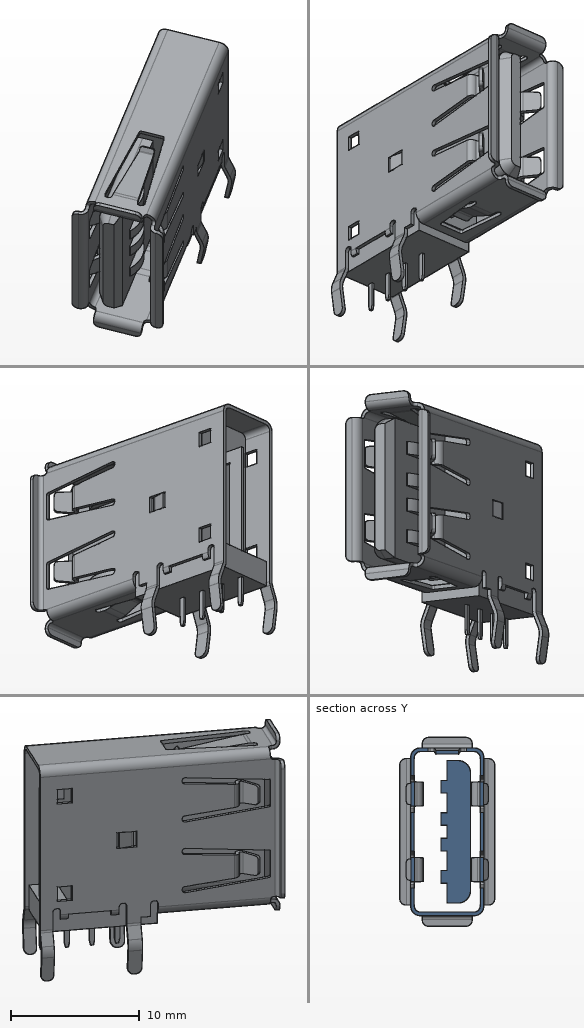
import cadquery as cq
import math


clearance = 1.0
slot_rounding = 0.46

sheet = 0.3
shell_width = 5.7
shell_height = 13.05
length = 19.3
corner_radius = 0.75
half_width = shell_width / 2
half_height = shell_height / 2
inner_half_width = half_width - sheet
inner_half_height = half_height - sheet
bend_line_z = -(half_height - corner_radius)

overall_width = 7.4
flare_height = 14.7
flare_bend = 0.3
flare_depth = flare_bend + sheet
side_flare_span = 11.4
top_flare_span = 3.9
flare_corner = 0.5
notch_depth = 0.95
notch_fillet = 0.25

floor_end = 9.9
relief_width = 0.62
relief_top = -5.25
front_leg_width = 1.12
rear_leg_width = 1.0
tab_length = 0.76
front_leg_start = floor_end + relief_width + tab_length
front_leg_end = front_leg_start + front_leg_width
rear_leg_start = length - rear_leg_width
relief_starts = (floor_end, front_leg_end, rear_leg_start - relief_width)
leg_top = -5.5
leg_bottom = -11.1
leg_bend_z = -6.97
leg_splay = 23.0
leg_return = 31.5
leg_splay_radius = 0.46
leg_splay_run = 1.09
leg_return_radius = 1.64
hem_length = 0.62
hem_bottom = -6.2

rear_window = 1.2
rear_window_y = 17.35
rear_window_z = 4.05
latch_window_length = 1.6
latch_window_height = 1.3
latch_window_y = 12.4
latch_front_gap = 0.22
latch_rear_gap = 0.2
latch_lead_in = 0.12
latch_lip = 0.05

window_corner = 0.15

side_spring_z = 2.94
side_spring_root = 8.0
side_spring_moves = [(4.15,), (-90, 0.5), (135, 0.2), (1.39,)]
side_spring_tongue = (1.35, 0.77, 6.3, 0.3)
side_spring_window = (1.87, 1.13, side_spring_root - notch_depth)

roof_spring_root = 1.67
roof_spring_moves = [(0.4,), (-7.2, 2.0), (5.08,), (57, 0.05), (0.4,)]
roof_spring_tongue = (1.05, 0.52, 6.5, 0.15)
roof_spring_window = (1.65, 1.0, 7.2)

floor_spring_root = 4.7
floor_spring_moves = [(0.5,), (-20, 1.8), (1.53,), (40, 0.4), (0.5,)]
floor_spring_tongue = (1.04, 0.7, 4.0, 0.2)
floor_spring_window = (1.55, 1.1, 4.4)

housing_front = 9.0
housing_rear = 16.8
base_rear = 19.0
base_top = -5.2
base_bottom = -7.25
tongue_front = 0.36
tongue_shoulder = 1.2
tongue_left = -1.82
tongue_right = 0.03
tongue_half_height = 5.55
tongue_radius = 1.0
tongue_bevel = 0.53
tongue_right_bevel = 0.4

contact_zs = (3.5, 1.0, -1.0, -3.5)
contact_width = 1.0
contact_start = 3.0
contact_length = 3.0
contact_nose = 0.12
contact_crest = 0.62
pin_first_y = 12.55
pin_pitch = 2.0
pin_count = 4
pin_width = 0.4
pin_thickness = 0.2
pin_bottom = -9.6
pin_taper = 0.37
pin_tip_width = 0.22
lead_front = 17.5
lead_top = 3.77


def block(x0, x1, y0, y1, z0, z1):
    """Box between two opposite corners."""
    return cq.Workplane("XY").box(x1 - x0, y1 - y0, z1 - z0, centered=False).translate((x0, y0, z0))


def both_sides(solid):
    """The solid together with its mirror image across X = 0."""
    return solid.union(solid.mirror("YZ"))


def place(solid, origin, along, outward):
    """Move a strip so that its local X runs along the wall and its local Z points outward."""
    plane = cq.Plane(origin=origin, xDir=along, normal=outward)
    return cq.Workplane("XY").newObject([solid.val().moved(cq.Location(plane))])


def bent_strip(moves, width):
    """Bent sheet running along +X with its outer face starting at Z = 0.

    A move is (length,) for a straight run, or (degrees, radius) for a bend whose radius
    is taken on the outer face; positive bends turn outward.
    """
    x, z, heading = 0.0, 0.0, 0.0
    stations = [(x, z, heading)]
    for move in moves:
        if len(move) == 1:
            x += move[0] * math.cos(heading)
            z += move[0] * math.sin(heading)
            stations.append((x, z, heading))
            continue
        turn, radius = math.radians(move[0]), move[1]
        side = math.copysign(1, turn)
        centre_x = x - side * radius * math.sin(heading)
        centre_z = z + side * radius * math.cos(heading)
        for angle in (heading + turn / 2, heading + turn):
            x = centre_x + side * radius * math.sin(angle)
            z = centre_z - side * radius * math.cos(angle)
            stations.append((x, z, angle))
        heading += turn

    outer = [(px, pz) for px, pz, _ in stations]
    inner = [(px + sheet * math.sin(a), pz - sheet * math.cos(a)) for px, pz, a in stations]

    def trace(sketch, points, ordered_moves):
        index = 0
        for move in ordered_moves:
            if len(move) == 1:
                sketch = sketch.lineTo(*points[index + 1])
            else:
                sketch = sketch.threePointArc(points[index + 1], points[index + 2])
            index += len(move)
        return sketch

    sketch = trace(cq.Workplane("XZ").moveTo(*outer[0]), outer, moves)
    sketch = trace(sketch.lineTo(*inner[-1]), inner[::-1], moves[::-1])
    return sketch.close().extrude(width / 2, both=True)


def taper_plate(x0, x1, half0, half1):
    """Tall plate whose plan tapers from half0 at x0 to half1 at x1."""
    plan = [(x0, -half0), (x1, -half1), (x1, half1), (x0, half0)]
    return cq.Workplane("XY").polyline(plan).close().extrude(shell_width / 2, both=True)


def spring_parts(moves, tongue, window):
    """Window cutter and bent tongue, both in local strip axes with the root at X = 0."""
    root_half, tip_half, tip_reach, tip_radius = tongue
    window_half, end_half, window_reach = window
    slot = window_half - root_half

    cutter = taper_plate(0, window_reach, window_half, end_half)
    cutter = cutter.edges("|Z and >X").fillet(window_corner)
    flank_slope = (root_half - tip_half) / tip_reach
    bridge_end = slot / 2
    bridge_start = -slot
    bridge = taper_plate(bridge_start, bridge_end, root_half - flank_slope * bridge_start,
                         root_half - flank_slope * bridge_end)
    cutter = cutter.cut(bridge)
    cutter = cutter.edges("|Z and <X").fillet(slot_rounding * slot)
    wall = cq.Workplane("XY").box(2 * window_reach + clearance, shell_width, 4 * sheet)

    strip = bent_strip(moves, 2 * window_half).intersect(taper_plate(0, tip_reach, root_half, tip_half))
    tip_heading = math.radians(sum(move[0] for move in moves if len(move) == 2))
    tip_direction = cq.Vector(math.cos(tip_heading), 0, math.sin(tip_heading))
    tip_face = strip.faces(cq.selectors.DirectionMinMaxSelector(tip_direction))
    strip = tip_face.edges("not |Y").fillet(tip_radius)
    return cutter.intersect(wall), strip


def make_tube():
    """Rounded rectangular shell with corner notches at the mouth."""
    def rounded_bar(margin):
        bar = block(-half_width + margin, half_width - margin, flare_depth, length,
                    -half_height + margin, half_height - margin)
        return bar.edges("|Y").fillet(corner_radius - margin)

    tube = rounded_bar(0).cut(rounded_bar(sheet))
    notch = block(top_flare_span / 2, half_width + clearance, -clearance, notch_depth,
                  side_flare_span / 2, half_height + clearance)
    notch = notch.edges(">Y and (<X or <Z)").fillet(notch_fillet)
    notches = both_sides(notch)
    return tube.cut(notches).cut(notches.mirror("XY"))


def make_flares():
    """Four lips that bend outward at the mouth."""
    def lip(half_size, overall, span):
        tail = overall / 2 - half_size - flare_bend
        return bent_strip([(90, flare_bend), (tail,)], span)

    def rounded_trim(width, height):
        depth = 2 * (flare_depth + clearance)
        return cq.Workplane("XY").box(width, depth, height).edges("|Y").fillet(flare_corner)

    side = lip(half_width, overall_width, side_flare_span)
    side = both_sides(place(side, (half_width, flare_depth, 0), (0, -1, 0), (1, 0, 0)))
    side = side.intersect(rounded_trim(overall_width, side_flare_span))

    top = lip(half_height, flare_height, top_flare_span)
    top = place(top, (0, flare_depth, half_height), (0, -1, 0), (0, 0, 1))
    top = top.union(top.mirror("XY"))
    return side.union(top.intersect(rounded_trim(top_flare_span, flare_height)))


def open_rear_underside(shell):
    """Remove the floor behind floor_end, leaving two short hems on each side."""
    far = half_width + clearance
    opening = block(-far, far, floor_end, length + clearance, -half_height - clearance, bend_line_z)
    for start in (front_leg_end + relief_width, rear_leg_start - relief_width - hem_length):
        for side in (-1, 1):
            edges = sorted((side * far, side * (half_width - corner_radius)))
            opening = opening.cut(block(*edges, start, start + hem_length, hem_bottom, bend_line_z))
    return shell.cut(opening)


def relief_cutter():
    """Round-topped slots beside the legs, cut through both side walls."""
    cutter = None
    for start in relief_starts:
        slot = block(inner_half_width - sheet, half_width + clearance, start, start + relief_width,
                     leg_bottom, relief_top)
        slot = both_sides(slot.edges("|X and >Z").fillet(slot_rounding * relief_width))
        cutter = slot if cutter is None else cutter.union(slot)
    return cutter


def make_legs():
    """Splayed solder legs with round ends, plus the flat tab in front of the front leg."""
    straight = leg_top - leg_bend_z
    reach = leg_top - leg_bottom
    moves = [
        (straight,),
        (leg_splay, leg_splay_radius),
        (leg_splay_run,),
        (-leg_return, leg_return_radius),
        (reach / 2,),
    ]
    legs = block(inner_half_width, half_width, floor_end + relief_width, front_leg_end,
                 -half_height, relief_top)
    for start, width in ((front_leg_start, front_leg_width), (rear_leg_start, rear_leg_width)):
        plan = cq.Workplane("XY").box(2 * reach, width, shell_width)
        plan = plan.edges("|Z and >X").fillet(slot_rounding * width)
        leg = bent_strip(moves, width).intersect(plan)
        legs = legs.union(place(leg, (half_width, start + width / 2, leg_top), (0, 0, -1), (1, 0, 0)))
        legs = legs.union(block(inner_half_width, half_width, start, start + width, leg_top, relief_top))
    return both_sides(legs)


def add_springs(shell):
    """Four side springs, one roof spring and one floor spring."""
    cutter, strip = spring_parts(side_spring_moves, side_spring_tongue, side_spring_window)
    for z in (side_spring_z, -side_spring_z):
        seat = ((half_width, side_spring_root, z), (0, -1, 0), (1, 0, 0))
        shell = shell.cut(both_sides(place(cutter, *seat)))
        shell = shell.union(both_sides(place(strip, *seat)))

    cutter, strip = spring_parts(roof_spring_moves, roof_spring_tongue, roof_spring_window)
    seat = ((0, roof_spring_root, half_height), (0, 1, 0), (0, 0, 1))
    shell = shell.cut(place(cutter, *seat)).union(place(strip, *seat))

    cutter, strip = spring_parts(floor_spring_moves, floor_spring_tongue, floor_spring_window)
    seat = ((0, floor_spring_root, -half_height), (0, 1, 0), (0, 0, -1))
    return shell.cut(place(cutter, *seat)).union(place(strip, *seat))


def cut_side_windows(shell):
    """Square rear windows and the central latch window through both side walls."""
    for z in (rear_window_z, -rear_window_z):
        window = cq.Workplane("XY").box(2 * shell_width, rear_window, rear_window)
        shell = shell.cut(window.translate((0, rear_window_y, z)))
    latch = cq.Workplane("XY").box(2 * shell_width, latch_window_length, latch_window_height)
    return shell.cut(latch.translate((0, latch_window_y, 0)))


def make_latches():
    """Ramped nubs on the housing that snap into the latch windows."""
    front = latch_window_y - latch_window_length / 2 + latch_front_gap
    rear = latch_window_y + latch_window_length / 2 - latch_rear_gap
    ramp = [
        (0, front),
        (inner_half_width + latch_lip, front),
        (inner_half_width + latch_lip, front + latch_lead_in),
        (half_width, rear),
        (0, rear),
    ]
    nub = cq.Workplane("XY").polyline(ramp).close().extrude(latch_window_height / 2, both=True)
    return both_sides(nub)


def tongue_outline(y, bevel, right_bevel):
    """Closed tongue section at depth y: round corners at -X, square corners at +X."""
    left = tongue_left + bevel
    right = tongue_right - right_bevel
    top = tongue_half_height - bevel
    radius = tongue_radius - bevel
    mid = radius * (1 - math.sqrt(0.5))
    section = cq.Workplane("XZ", origin=(0, y, 0)).moveTo(right, -top).lineTo(right, top)
    section = section.lineTo(left + radius, top)
    section = section.threePointArc((left + mid, top - mid), (left, top - radius))
    section = section.lineTo(left, radius - top)
    section = section.threePointArc((left + mid, mid - top), (left + radius, -top))
    return section.close()


def make_insulator():
    """Housing block, base under the shell and bevelled tongue."""
    housing = block(-inner_half_width, inner_half_width, housing_front, housing_rear,
                    -inner_half_height, inner_half_height)
    housing = housing.edges("|Y").fillet(corner_radius - sheet)
    base = block(-inner_half_width, inner_half_width, floor_end, base_rear, base_bottom, base_top)
    tongue = tongue_outline(tongue_shoulder, 0, 0).extrude(tongue_shoulder - floor_end)
    front_wire = tongue_outline(tongue_front, tongue_bevel, tongue_right_bevel).wire().val()
    shoulder_wire = tongue_outline(tongue_shoulder, 0, 0).wire().val()
    bevel = cq.Workplane("XY").newObject([cq.Solid.makeLoft([front_wire, shoulder_wire], True)])
    return housing.union(base).union(tongue).union(bevel).union(make_latches())


def make_contacts():
    """Four domed contacts on the +X face of the tongue."""
    middle = contact_start + contact_length / 2
    end = contact_start + contact_length
    dome = (
        cq.Workplane("XY")
        .moveTo(tongue_right - contact_nose, contact_start)
        .lineTo(contact_nose, contact_start)
        .threePointArc((contact_crest, middle), (contact_nose, end))
        .lineTo(tongue_right - contact_nose, end)
        .close()
        .extrude(contact_width / 2, both=True)
    )
    contacts = None
    for z in contact_zs:
        contact = dome.translate((0, 0, z))
        contacts = contact if contacts is None else contacts.union(contact)
    return contacts


def make_pins():
    """Row of pointed pins under the base and the lead that runs down behind the housing."""
    half = pin_thickness / 2
    last_y = pin_first_y + (pin_count - 1) * pin_pitch
    lead_rear = last_y + pin_width / 2
    pins = block(-half, half, lead_front, lead_rear, base_top - clearance, lead_top)
    arm = block(-half, half, housing_rear - clearance, lead_rear, lead_top - contact_width, lead_top)
    pins = pins.union(arm)
    for index in range(pin_count):
        y = pin_first_y + index * pin_pitch
        outline = [
            (y - pin_width / 2, base_bottom + clearance),
            (y - pin_width / 2, pin_bottom + pin_taper),
            (y - pin_tip_width / 2, pin_bottom),
            (y + pin_tip_width / 2, pin_bottom),
            (y + pin_width / 2, pin_bottom + pin_taper),
            (y + pin_width / 2, base_bottom + clearance),
        ]
        pins = pins.union(cq.Workplane("YZ").polyline(outline).close().extrude(half, both=True))
    return pins


shell = open_rear_underside(make_tube()).union(make_flares()).union(make_legs()).cut(relief_cutter())
shell = cut_side_windows(add_springs(shell))
result = shell.union(make_insulator()).union(make_contacts()).union(make_pins())